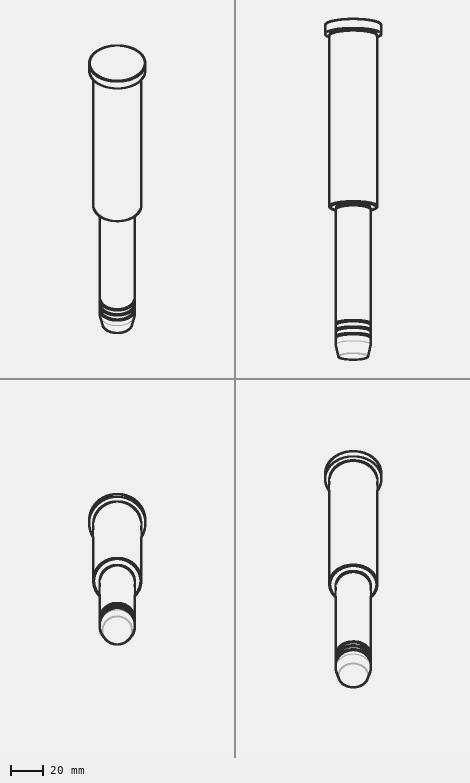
import cadquery as cq

total_length = 211.0
head_height = 6.0
pin_length = 95.0
taper_height = 7.5

head_radius = 17.5
body_radius = 15.0
pin_radius = 11.0
taper_end_radius = 9.3

head_chamfer = 0.5
body_chamfer = 0.6
tip_fillet = 0.5
relief_width = 1.3
relief_depth = 0.5

groove_count = 3
groove_width = 1.0
groove_depth = 0.5
groove_pitch = 4.11
first_groove_height = 12.2


def cylinder(radius, bottom, top):
    """Cylinder about Z between two heights."""
    return cq.Workplane("XY").workplane(offset=bottom).circle(radius).extrude(top - bottom)


def ring_cutter(points):
    """Ring about Z swept from a closed (radius, height) outline."""
    return cq.Workplane("XZ").polyline(points).close().revolve(360, (0, 0, 0), (0, 1, 0))


def head_relief_cutter(radius, top):
    """Relief under a shoulder, running out to the full radius at 45 degrees."""
    floor = radius - relief_depth
    bottom = top - relief_width
    return ring_cutter([(radius, top), (floor, top), (floor, bottom + relief_depth), (radius, bottom)])


def pin_relief_cutter(radius, top):
    """Square relief under a shoulder."""
    floor = radius - relief_depth
    bottom = top - relief_width
    return ring_cutter([(radius, top), (floor, top), (floor, bottom), (radius, bottom)])


def groove_cutter(center):
    """V-shaped oil groove in the pin."""
    half = groove_width / 2
    return ring_cutter(
        [(pin_radius, center - half), (pin_radius - groove_depth, center), (pin_radius, center + half)]
    )


head_bottom = total_length - head_height

head = cylinder(head_radius, head_bottom, total_length).faces(">Z").edges().chamfer(head_chamfer)
body = cylinder(body_radius, pin_length, head_bottom).faces("<Z").edges().chamfer(body_chamfer)
pin = cylinder(pin_radius, taper_height, pin_length)

tip = (
    cq.Workplane("XY")
    .circle(taper_end_radius)
    .workplane(offset=taper_height)
    .circle(pin_radius)
    .loft(ruled=True)
    .faces("<Z")
    .edges()
    .fillet(tip_fillet)
)

result = head.union(body).union(pin).union(tip)

result = result.cut(head_relief_cutter(body_radius, head_bottom))
result = result.cut(pin_relief_cutter(pin_radius, pin_length))

for index in range(groove_count):
    center = first_groove_height + index * groove_pitch
    result = result.cut(groove_cutter(center))